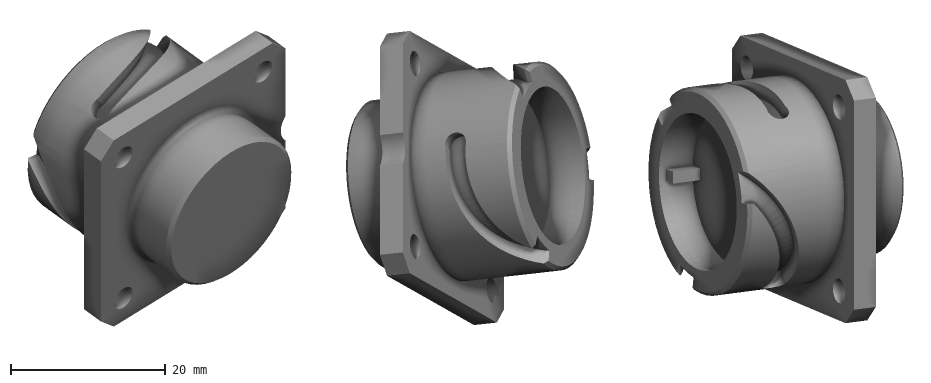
import cadquery as cq
import math

flange_size = 32.5
flange_front = 14.15
flange_thickness = 3.25
flange_corner_cut = 2.28
mount_hole_offset = 12.3
mount_hole_diameter = 3.28
notch_depth = 0.78
notch_width = 4.15

overall_length = 24.7
barrel_diameter = 27.3
boss_diameter = 22.1
rim_chamfer = 0.5
boss_root_fillet = 0.78
bore_diameter = 20.7
bore_depth = 5.0

key_width = 1.6
key_inner_edge = 8.45
key_length = 4.0

slot_count = 3
slot_width = 2.8
slot_floor_radius = 11.7
slot_end_x = 7.8
slot_curve_radius = 22.43
slot_curve_sweep = 60.0
slot_curve_steps = 24
slot_straight_length = 1.7
slot_end_angle = -62.4
socket_diameter = 3.0
slot_clearance = 1.3

mouth_angle = 8.0
mouth_width = 1.35
mouth_depth = 0.6

barrel_radius = barrel_diameter / 2
slot_cut_height = barrel_radius + slot_clearance - slot_floor_radius
flange_back = flange_front + flange_thickness


def disc_along_x(diameter, start, end):
    return cq.Workplane("YZ", origin=(start, 0, 0)).circle(diameter / 2).extrude(end - start)


def make_flange():
    plate = (
        cq.Workplane("YZ", origin=(flange_front, 0, 0))
        .rect(flange_size, flange_size)
        .extrude(flange_thickness)
        .edges("|X")
        .chamfer(flange_corner_cut)
    )
    holes = (
        cq.Workplane("YZ", origin=(flange_front, 0, 0))
        .rect(2 * mount_hole_offset, 2 * mount_hole_offset, forConstruction=True)
        .vertices()
        .circle(mount_hole_diameter / 2)
        .extrude(flange_thickness)
    )
    half_size = flange_size / 2
    notch = (
        cq.Workplane("YZ", origin=(flange_front, 0, 0))
        .moveTo(half_size, -notch_width / 2)
        .threePointArc((half_size - notch_depth, 0), (half_size, notch_width / 2))
        .close()
        .extrude(flange_thickness)
    )
    return plate.cut(holes).cut(notch)


def make_barrel():
    return disc_along_x(barrel_diameter, 0, flange_front).faces("<X").chamfer(rim_chamfer)


def make_boss():
    boss_radius = boss_diameter / 2
    profile = (
        cq.Workplane("XY")
        .moveTo(flange_front, 0)
        .lineTo(flange_front, boss_radius + boss_root_fillet)
        .lineTo(flange_back, boss_radius + boss_root_fillet)
        .radiusArc((flange_back + boss_root_fillet, boss_radius), -boss_root_fillet)
        .lineTo(overall_length - rim_chamfer, boss_radius)
        .lineTo(overall_length, boss_radius - rim_chamfer)
        .lineTo(overall_length, 0)
        .close()
    )
    return profile.revolve(360, (0, 0, 0), (1, 0, 0))


def make_key():
    outer_edge = (bore_diameter / 2 + barrel_radius) / 2
    return cq.Workplane("XY").box(
        key_length, outer_edge - key_inner_edge, key_width, centered=(False, False, True)
    ).translate((bore_depth - key_length, key_inner_edge, 0))


def radial_plane(x, arc_position, heading):
    """Plane facing along the slot path; its local Y points outward from the X axis.

    arc_position is measured around the barrel surface from -Y towards +Z, and
    heading is the angle of the path away from the circumferential direction.
    """
    angle = arc_position / barrel_radius
    outward = cq.Vector(0, -math.cos(angle), math.sin(angle))
    around = cq.Vector(0, math.sin(angle), math.cos(angle))
    forward = cq.Vector(-1, 0, 0)
    along = around * math.cos(heading) + forward * math.sin(heading)
    origin = cq.Vector(x, 0, 0) + outward * slot_floor_radius
    return cq.Plane(origin=origin, xDir=outward.cross(along), normal=along)


def slot_section(x, arc_position, heading):
    section = cq.Workplane(radial_plane(x, arc_position, heading))
    return section.center(0, slot_cut_height / 2).rect(slot_width, slot_cut_height).wires().val()


def make_slot_mouth():
    """Short axial relief that widens the slot where it leaves the front rim."""
    mouth = cq.Workplane("XY").box(
        mouth_depth, slot_cut_height, mouth_width, centered=(False, False, True)
    )
    mouth = mouth.translate((0, -slot_floor_radius - slot_cut_height, 0))
    return mouth.rotate((0, 0, 0), (1, 0, 0), -mouth_angle)


def make_slot():
    end_arc = math.radians(slot_end_angle) * barrel_radius
    curve_start = end_arc + slot_straight_length
    sections = [slot_section(slot_end_x, end_arc, 0)]
    for step in range(slot_curve_steps + 1):
        heading = math.radians(slot_curve_sweep) * step / slot_curve_steps
        x = slot_end_x - slot_curve_radius * (1 - math.cos(heading))
        arc_position = curve_start + slot_curve_radius * math.sin(heading)
        sections.append(slot_section(x, arc_position, heading))
    channel = cq.Workplane(cq.Solid.makeLoft(sections, True))

    end_outward = radial_plane(slot_end_x, end_arc, 0).yDir
    end_origin = cq.Vector(slot_end_x, 0, 0) + end_outward * slot_floor_radius
    socket = cq.Workplane(cq.Plane(origin=end_origin, xDir=(1, 0, 0), normal=end_outward))
    socket = socket.circle(socket_diameter / 2).extrude(slot_cut_height)
    return channel.union(socket).union(make_slot_mouth())


result = make_barrel().union(make_flange()).union(make_boss())
result = result.cut(disc_along_x(bore_diameter, 0, bore_depth)).union(make_key())
slot = make_slot()
for index in range(slot_count):
    result = result.cut(slot.rotate((0, 0, 0), (1, 0, 0), 360 * index / slot_count))